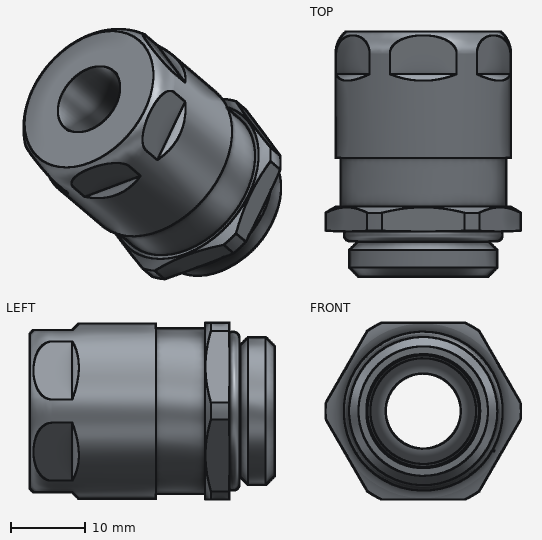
import cadquery as cq
import math


LENGTH = 33.1
THREAD_START = 1.25
THREAD_END = 3.6
HEX_START = 6.12
HEX_END = 9.47
CAP_START = 16.05
CAP_ROUND_START = 30.1

THREAD_RADIUS = 20.0 / 2
GROOVE_RADIUS = 17.87 / 2
RING_RADIUS = 10.72
RING_START = 4.75
NECK_RADIUS = 22.4 / 2

HEX_ACROSS_FLATS = 23.9
HEX_CORNER_RADIUS = 26.38 / 2
HEX_FACE_RADIUS = 11.8
HEX_FRONT_CHAMFER = 0.1
HEX_BACK_CHAMFER = 0.83

CAP_RADIUS = 23.7 / 2
CAP_END_RADIUS = 10.43
FLAT_DISTANCE = 10.95
FLAT_START = 27.35
FLAT_COUNT = 6

ENTRY_RADIUS = 15.4 / 2
STEP_RADIUS = 15.05 / 2
INNER_RADIUS = 14.25 / 2
THROUGH_RADIUS = 10.1 / 2
ENTRY_DEPTH = 6.9
STEP_DEPTH = 7.1
INNER_DEPTH = 9.27


def revolve_about_y(profile):
    return profile.close().revolve(360, (0, 0, 0), (0, 1, 0))


def cylinder(radius, start, end):
    """Cylinder on the Y axis between two axial stations."""
    return cq.Workplane("XZ", origin=(0, start, 0)).circle(radius).extrude(start - end)


def make_threaded_end():
    """Plain thread envelope with 45 degree chamfers and a reduced shank up to the collar."""
    groove_start = THREAD_END + THREAD_RADIUS - GROOVE_RADIUS
    return revolve_about_y(
        cq.Workplane("XY")
        .moveTo(0, 0)
        .lineTo(THREAD_RADIUS - THREAD_START, 0)
        .lineTo(THREAD_RADIUS, THREAD_START)
        .lineTo(THREAD_RADIUS, THREAD_END)
        .lineTo(GROOVE_RADIUS, groove_start)
        .lineTo(GROOVE_RADIUS, HEX_START)
        .lineTo(0, HEX_START)
    )


def make_sealing_ring():
    """O-ring resting on the groove floor and pressed into the collar face."""
    section_radius = (RING_RADIUS - GROOVE_RADIUS) / 2
    section = cq.Workplane("XY").center(RING_RADIUS - section_radius, RING_START + section_radius)
    axis_offset = section_radius - RING_RADIUS
    axis_start = (axis_offset, 0, 0)
    axis_end = (axis_offset, 1, 0)
    return section.circle(section_radius).revolve(360, axis_start, axis_end)


def make_hex_collar():
    """Hexagon with flats facing +Z and -Z, its corners turned down and chamfered."""
    hexagon = (
        cq.Workplane("XZ", origin=(0, HEX_START, 0))
        .polygon(6, HEX_ACROSS_FLATS / math.cos(math.pi / 6))
        .extrude(HEX_START - HEX_END)
    )
    turned_envelope = revolve_about_y(
        cq.Workplane("XY")
        .moveTo(0, HEX_START)
        .lineTo(HEX_FACE_RADIUS, HEX_START)
        .lineTo(HEX_CORNER_RADIUS, HEX_START + HEX_FRONT_CHAMFER)
        .lineTo(HEX_CORNER_RADIUS, HEX_END - HEX_BACK_CHAMFER)
        .lineTo(HEX_FACE_RADIUS, HEX_END)
        .lineTo(0, HEX_END)
    )
    return hexagon.intersect(turned_envelope)


def make_flat_cutter():
    """Material above one wrench flat, with a 45 degree run-out toward the collar."""
    overshoot = 3.3
    return (
        cq.Workplane("YZ")
        .moveTo(FLAT_START, FLAT_DISTANCE)
        .lineTo(LENGTH + overshoot, FLAT_DISTANCE)
        .lineTo(LENGTH + overshoot, FLAT_DISTANCE + overshoot)
        .lineTo(FLAT_START - overshoot, FLAT_DISTANCE + overshoot)
        .close()
        .extrude(CAP_RADIUS, both=True)
    )


def make_cap():
    """Cap whose end is rounded by an arc tangent to the cylinder, with wrench flats."""
    round_height = LENGTH - CAP_ROUND_START
    inset = CAP_RADIUS - CAP_END_RADIUS
    arc_radius = (inset**2 + round_height**2) / (2 * inset)
    half_angle = math.asin(round_height / arc_radius) / 2
    arc_middle = (
        CAP_RADIUS - arc_radius * (1 - math.cos(half_angle)),
        CAP_ROUND_START + arc_radius * math.sin(half_angle),
    )
    cap = revolve_about_y(
        cq.Workplane("XY")
        .moveTo(0, CAP_START)
        .lineTo(CAP_RADIUS, CAP_START)
        .lineTo(CAP_RADIUS, CAP_ROUND_START)
        .threePointArc(arc_middle, (CAP_END_RADIUS, LENGTH))
        .lineTo(0, LENGTH)
    )
    cutter = make_flat_cutter()
    for index in range(FLAT_COUNT):
        cap = cap.cut(cutter.rotate((0, 0, 0), (0, 1, 0), index * 360 / FLAT_COUNT))
    return cap


def make_bore():
    """Bore from the threaded end: wide entry, tapered shoulder, inner seat and through hole."""
    return revolve_about_y(
        cq.Workplane("XY")
        .moveTo(0, 0)
        .lineTo(ENTRY_RADIUS, 0)
        .lineTo(ENTRY_RADIUS, ENTRY_DEPTH)
        .lineTo(STEP_RADIUS, STEP_DEPTH)
        .lineTo(INNER_RADIUS, STEP_DEPTH)
        .lineTo(INNER_RADIUS, INNER_DEPTH)
        .lineTo(THROUGH_RADIUS, INNER_DEPTH)
        .lineTo(THROUGH_RADIUS, LENGTH)
        .lineTo(0, LENGTH)
    )


result = (
    make_threaded_end()
    .union(make_sealing_ring())
    .union(make_hex_collar())
    .union(cylinder(NECK_RADIUS, HEX_END, CAP_START))
    .union(make_cap())
    .cut(make_bore())
)